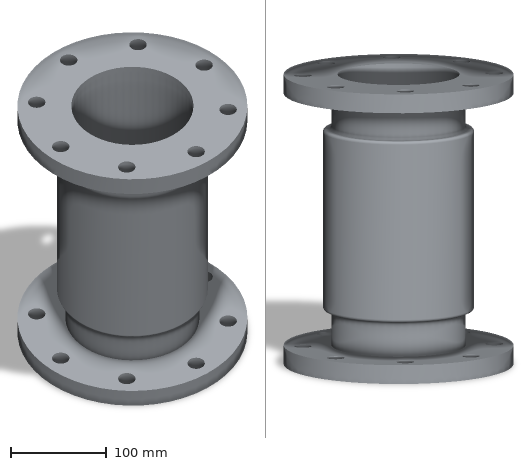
import cadquery as cq
import math

length = 307.0
flange_diameter = 240.0
flange_thickness = 20.0
bore_diameter = 127.5

neck_diameter = 140.0
body_diameter = 157.8
body_length = 192.0
body_edge_radius = 3.0

weld_radius = 3.0

bolt_count = 8
bolt_circle_diameter = 200.2
bolt_hole_diameter = 18.0
first_bolt_angle = 180.0 / bolt_count


def cylinder(diameter, height, base_z):
    return cq.Workplane("XY").workplane(offset=base_z).circle(diameter / 2).extrude(height)


def make_pipe():
    """Neck running the full length, with the wider rounded body at mid-length."""
    neck = cylinder(neck_diameter, length, -length / 2)
    body = cylinder(body_diameter, body_length, -body_length / 2)
    body = body.faces("<Z or >Z").edges().fillet(body_edge_radius)
    return neck.union(body)


def make_weld(side):
    """Concave quarter-round ring on a body end face; side is +1 for the top and -1 for the bottom."""
    neck_radius = neck_diameter / 2
    face_z = side * body_length / 2
    tip_z = face_z + side * weld_radius
    rim_radius = neck_radius + weld_radius
    arc_inset = weld_radius * math.sqrt(0.5)
    arc_middle = (rim_radius - arc_inset, tip_z - side * arc_inset)
    return (
        cq.Workplane("XZ")
        .moveTo(0, face_z)
        .lineTo(rim_radius, face_z)
        .threePointArc(arc_middle, (neck_radius, tip_z))
        .lineTo(0, tip_z)
        .close()
        .revolve(360, (0, 0, 0), (0, 1, 0))
    )


def make_flange(base_z):
    """Round flange with bolt holes that straddle the X and Y axes."""
    holes = (
        cq.Workplane("XY")
        .workplane(offset=base_z)
        .polarArray(bolt_circle_diameter / 2, first_bolt_angle, 360, bolt_count)
        .circle(bolt_hole_diameter / 2)
        .extrude(flange_thickness)
    )
    return cylinder(flange_diameter, flange_thickness, base_z).cut(holes)


solid = make_pipe()
for side in (1, -1):
    solid = solid.union(make_weld(side))
for base_z in (-length / 2, length / 2 - flange_thickness):
    solid = solid.union(make_flange(base_z))

result = solid.cut(cylinder(bore_diameter, length, -length / 2))